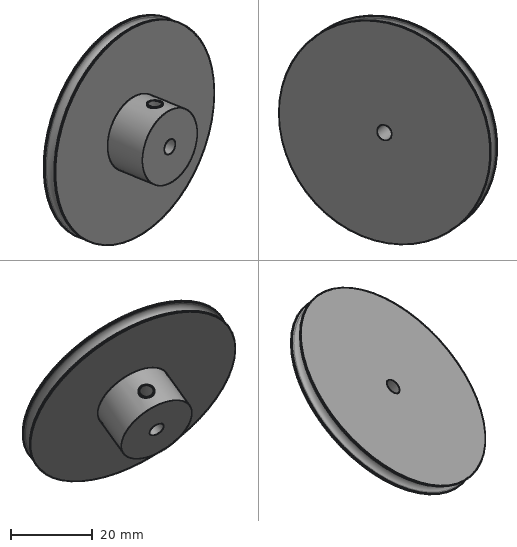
import cadquery as cq

wheel_diameter = 58.0
wheel_width = 4.0
hub_diameter = 20.0
total_length = 15.5
bore_diameter = 4.0

groove_width = 3.0
groove_depth = 2.0

sleeve_x = 10.55
sleeve_outer_diameter = 4.0
sleeve_inner_diameter = 3.4
sleeve_bottom = -0.3
sleeve_top = 10.15

wheel_radius = wheel_diameter / 2
hub_radius = hub_diameter / 2
groove_radius = groove_width / 2
rim_width = (wheel_width - groove_width) / 2
groove_wall_end = wheel_radius - groove_depth + groove_radius
groove_bottom = wheel_radius - groove_depth


def make_body():
    """Revolve the half section of grooved wheel and hub about the X axis."""
    return (
        cq.Workplane("XY")
        .lineTo(0, wheel_radius)
        .lineTo(rim_width, wheel_radius)
        .lineTo(rim_width, groove_wall_end)
        .threePointArc(
            (wheel_width / 2, groove_bottom),
            (wheel_width - rim_width, groove_wall_end),
        )
        .lineTo(wheel_width - rim_width, wheel_radius)
        .lineTo(wheel_width, wheel_radius)
        .lineTo(wheel_width, hub_radius)
        .lineTo(total_length, hub_radius)
        .lineTo(total_length, 0)
        .close()
        .revolve(360, (0, 0, 0), (1, 0, 0))
    )


def make_sleeve_cylinder(diameter):
    """Cylinder along Z over the full height of the sleeve."""
    return (
        cq.Workplane("XY", origin=(sleeve_x, 0, sleeve_bottom))
        .circle(diameter / 2)
        .extrude(sleeve_top - sleeve_bottom)
    )


bore = cq.Workplane("YZ").circle(bore_diameter / 2).extrude(total_length)

result = (
    make_body()
    .cut(bore)
    .union(make_sleeve_cylinder(sleeve_outer_diameter))
    .cut(make_sleeve_cylinder(sleeve_inner_diameter))
)